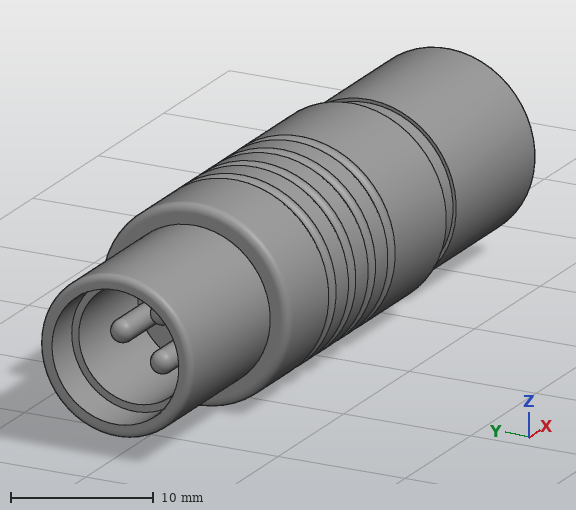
import cadquery as cq
import math

total_length = 51.0
collar_start = 12.0
collar_end = 36.0
rear_start = 38.5

nose_radius = 6.0
collar_radius = 7.5
neck_radius = 6.75
rear_radius = 7.0

nose_fillet = 0.5
collar_fillet = 0.6
rear_fillet = 0.6

mouth_radius = 5.0
mouth_depth = 3.0
socket_radius = 4.45
socket_depth = collar_start

groove_count = 4
groove_pitch = 3.0
first_groove_center = 18.6
groove_width = 1.1
groove_depth = 0.3

pin_count = 3
pin_radius = 0.85
pin_circle_radius = 2.1
pin_length = 7.65


def cylinder_x(start, length, radius):
    return cq.Workplane("YZ", origin=(start, 0, 0)).circle(radius).extrude(length)


def make_body():
    nose = cylinder_x(0, collar_start, nose_radius).faces("<X").edges().fillet(nose_fillet)
    collar = cylinder_x(collar_start, collar_end - collar_start, collar_radius)
    collar = collar.faces("<X").edges().fillet(collar_fillet)
    neck = cylinder_x(collar_end, rear_start - collar_end, neck_radius)
    rear = cylinder_x(rear_start, total_length - rear_start, rear_radius)
    rear = rear.faces(">X").edges().fillet(rear_fillet)
    return nose.union(collar).union(neck).union(rear)


def make_groove(center):
    """Ring with a shallow circular-arc floor that cuts into the collar surface."""
    half_width = groove_width / 2
    profile = (
        cq.Workplane("XY")
        .moveTo(center - half_width, collar_radius)
        .threePointArc((center, collar_radius - groove_depth), (center + half_width, collar_radius))
        .lineTo(center + half_width, collar_radius + groove_depth)
        .lineTo(center - half_width, collar_radius + groove_depth)
        .close()
    )
    return profile.revolve(360, (0, 0, 0), (1, 0, 0))


def make_pin(angle):
    """Pin standing on the socket floor, with a hemispherical tip facing the mouth."""
    y = pin_circle_radius * math.cos(angle)
    z = pin_circle_radius * math.sin(angle)
    tip_center = socket_depth - pin_length + pin_radius
    shank = cylinder_x(tip_center, socket_depth - tip_center, pin_radius)
    tip = cq.Workplane("XY").sphere(pin_radius).translate((tip_center, 0, 0))
    return shank.union(tip).translate((0, y, z))


result = make_body()
result = result.cut(cylinder_x(0, mouth_depth, mouth_radius))
result = result.cut(cylinder_x(0, socket_depth, socket_radius))
for index in range(groove_count):
    result = result.cut(make_groove(first_groove_center + index * groove_pitch))
for index in range(pin_count):
    result = result.union(make_pin(2 * math.pi * index / pin_count))